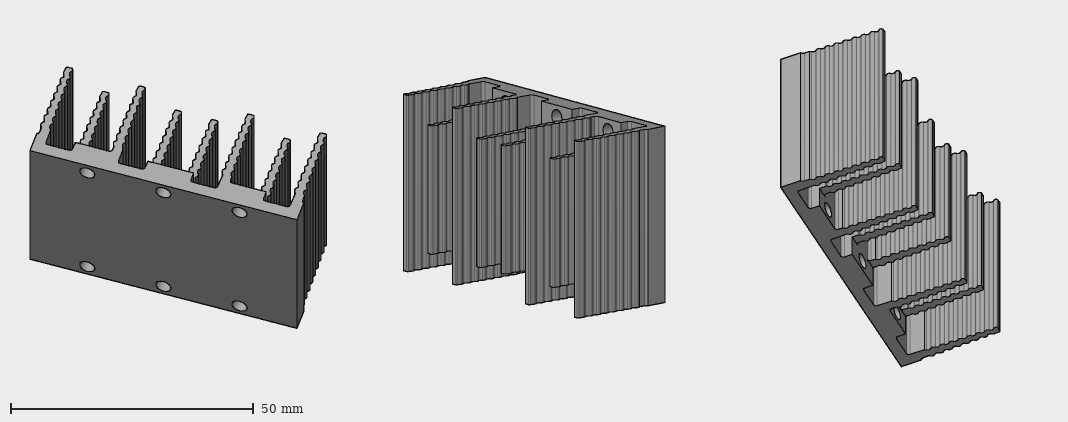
import cadquery as cq

width = 57.9
depth = 22.9
height = 37.35

floor_level = 2.6
pad_level = 4.9
end_edge_level = 4.6
end_cove_top = 5.2
end_cove_radius = 0.75
fillet_radius = 0.6

fin_count = 8
outer_fin_spacing = 55.0
fin_pitch = outer_fin_spacing / (fin_count - 1)
root_top = 6.8
tip_half_thickness = 1.2 / 2
root_half_thickness = 1.95 / 2
tip_corner = 0.3
wave_amplitude = 0.21
half_wave = 2.0 / 2
half_wave_count = 15
root_lead = half_wave / 3
tip_sway = -1.5 * wave_amplitude
crest_sway = -2 * wave_amplitude
mid_crest_sway = -1.75 * wave_amplitude

shortened_fins = (1, 3, 4, 6)
pad_fin_pairs = ((1, 2), (3, 4), (5, 6))

hole_diameter = 3.25
hole_spacing_x = 16.5
hole_spacing_z = 32.2
fin_relief = 5.1

fin_centers = [(i - (fin_count - 1) / 2) * fin_pitch for i in range(fin_count)]


def half_thickness(y):
    """Half thickness of a fin at level y, following its straight taper."""
    slope = (tip_half_thickness - root_half_thickness) / (depth - root_top)
    return root_half_thickness + slope * (y - root_top)


def flank_point(center, side, y, sway=0.0):
    """Point on the left (-1) or right (+1) flank, moved sideways by sway."""
    return (center + side * half_thickness(y) + sway, y)


def extrude_profile(sketch):
    """Close an outline and extrude it over the full height, centred on Z = 0."""
    return sketch.close().extrude(height / 2, both=True)


def wave_arc(center, side, index):
    """Middle and upper end of one half wave; even ones bulge to the left."""
    start = root_top + index * half_wave
    bulge = crest_sway if index % 2 == 0 else 0.0
    middle = flank_point(center, side, start + half_wave / 2, bulge)
    end = flank_point(center, side, start + half_wave, -wave_amplitude)
    return middle, end


def make_fin(center):
    """One fin, running from the channel floor to its rounded tip."""
    wave_top = root_top + half_wave_count * half_wave
    root_end = root_top - root_lead
    last_node = wave_top - half_wave
    tip_left = flank_point(center, -1, depth, tip_sway)
    tip_right = flank_point(center, 1, depth, -wave_amplitude)

    profile = (
        cq.Workplane("XY")
        .moveTo(*flank_point(center, -1, floor_level))
        .lineTo(*flank_point(center, -1, root_end))
        .lineTo(*flank_point(center, -1, root_top, -wave_amplitude))
    )
    for index in range(half_wave_count - 1):
        profile = profile.threePointArc(*wave_arc(center, -1, index))

    profile = (
        profile.threePointArc(
            flank_point(center, -1, last_node + half_wave / 4, mid_crest_sway),
            flank_point(center, -1, last_node + half_wave / 2, crest_sway),
        )
        .lineTo(tip_left[0], depth - tip_corner)
        .radiusArc((tip_left[0] + tip_corner, depth), tip_corner)
        .lineTo(tip_right[0] - tip_corner / 2, depth)
        .threePointArc(
            flank_point(center, 1, wave_top + half_wave / 2),
            flank_point(center, 1, wave_top, -wave_amplitude),
        )
    )
    for index in reversed(range(half_wave_count)):
        middle, _ = wave_arc(center, 1, index)
        start = flank_point(center, 1, root_top + index * half_wave, -wave_amplitude)
        profile = profile.threePointArc(middle, start)

    profile = profile.lineTo(*flank_point(center, 1, root_end))
    profile = profile.lineTo(*flank_point(center, 1, floor_level))
    return extrude_profile(profile)


def make_pad(left_center, right_center):
    """Thick stretch of base joining two neighbouring fins."""
    profile = cq.Workplane("XY").polyline(
        [
            flank_point(left_center, -1, floor_level),
            flank_point(left_center, -1, pad_level),
            flank_point(right_center, 1, pad_level),
            flank_point(right_center, 1, floor_level),
        ]
    )
    return extrude_profile(profile)


def make_end(side):
    """Raised edge of the base beside an outermost fin, with a hollow cove up to the fin."""
    center = side * fin_centers[-1]
    profile = (
        cq.Workplane("XY")
        .moveTo(center, floor_level)
        .lineTo(side * width / 2, floor_level)
        .lineTo(side * width / 2, end_edge_level)
        .radiusArc(flank_point(center, side, end_cove_top), side * end_cove_radius)
        .lineTo(center, end_cove_top)
    )
    return extrude_profile(profile)


def corner_edges(body, x, y):
    """Edges along Z at the inner corner (x, y)."""
    reach = 0.05
    box = cq.selectors.BoxSelector((x - reach, y - reach, -height), (x + reach, y + reach, height))
    return body.edges("|Z").edges(box)


result = cq.Workplane("XY").box(width, floor_level, height).translate((0, floor_level / 2, 0))
for left, right in pad_fin_pairs:
    result = result.union(make_pad(fin_centers[left], fin_centers[right]))
for side in (-1, 1):
    result = result.union(make_end(side))
for center in fin_centers:
    result = result.union(make_fin(center))
result = result.clean()

for gap in range(fin_count - 1):
    level = pad_level if (gap, gap + 1) in pad_fin_pairs else floor_level
    for index, side in ((gap, 1), (gap + 1, -1)):
        foot = flank_point(fin_centers[index], side, level)
        result = corner_edges(result, *foot).fillet(fillet_radius)

relief_width = 2 * (half_thickness(pad_level) + fillet_radius)
for index in shortened_fins:
    for end in (-1, 1):
        relief = (
            cq.Workplane("XY")
            .box(relief_width, depth - pad_level, fin_relief)
            .translate((fin_centers[index], (depth + pad_level) / 2, end * (height - fin_relief) / 2))
        )
        result = result.cut(relief)

holes = (
    cq.Workplane("XZ")
    .rarray(hole_spacing_x, hole_spacing_z, 3, 2)
    .circle(hole_diameter / 2)
    .extrude(-pad_level)
)
result = result.cut(holes)